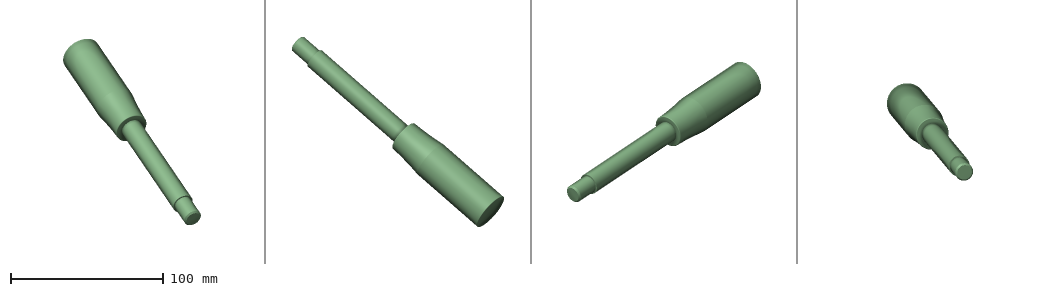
import cadquery as cq

total_length = 175.9
grip_diameter = 26.0
grip_length = 79.9
grip_straight_end = 54.9
neck_diameter = 21.8
taper_hollow = 0.4
dome_height = 0.9
rim_round = 0.4
neck_round = 0.5

shaft_diameter = 14.0
tip_diameter = 12.0
tip_length = 16.0
tip_chamfer = 1.0

grip_radius = grip_diameter / 2
neck_radius = neck_diameter / 2
rim_radius = grip_radius - rim_round
rim_end = dome_height + rim_round
round_inset = 1 - 0.5**0.5
neck_round_start = grip_length - neck_round


def make_grip():
    """Domed, rounded cylinder with a slightly hollow taper towards the shaft."""
    dome_sphere_radius = (rim_radius**2 + dome_height**2) / (2 * dome_height)
    half_rim = rim_radius / 2
    dome_middle = dome_sphere_radius - (dome_sphere_radius**2 - half_rim**2) ** 0.5
    taper_middle = (grip_straight_end + neck_round_start) / 2
    taper_middle_radius = (grip_radius + neck_radius) / 2 - taper_hollow
    profile = (
        cq.Workplane("XY")
        .moveTo(0, 0)
        .threePointArc((dome_middle, half_rim), (dome_height, rim_radius))
        .threePointArc(
            (dome_height + rim_round * round_inset, grip_radius - rim_round * round_inset),
            (rim_end, grip_radius),
        )
        .lineTo(grip_straight_end, grip_radius)
        .threePointArc((taper_middle, taper_middle_radius), (neck_round_start, neck_radius))
        .threePointArc(
            (grip_length - neck_round * round_inset, neck_radius - neck_round * round_inset),
            (grip_length, neck_radius - neck_round),
        )
        .lineTo(grip_length, 0)
        .close()
    )
    return profile.revolve(360, (0, 0, 0), (1, 0, 0))


def make_shaft():
    """Plain shaft with a reduced, chamfered tip."""
    shaft_end = total_length - tip_length
    shaft = (
        cq.Workplane("YZ", origin=(grip_straight_end, 0, 0))
        .circle(shaft_diameter / 2)
        .extrude(shaft_end - grip_straight_end)
    )
    tip = (
        cq.Workplane("YZ", origin=(shaft_end, 0, 0))
        .circle(tip_diameter / 2)
        .extrude(tip_length)
        .faces(">X")
        .chamfer(tip_chamfer)
    )
    return shaft.union(tip)


result = make_grip().union(make_shaft())